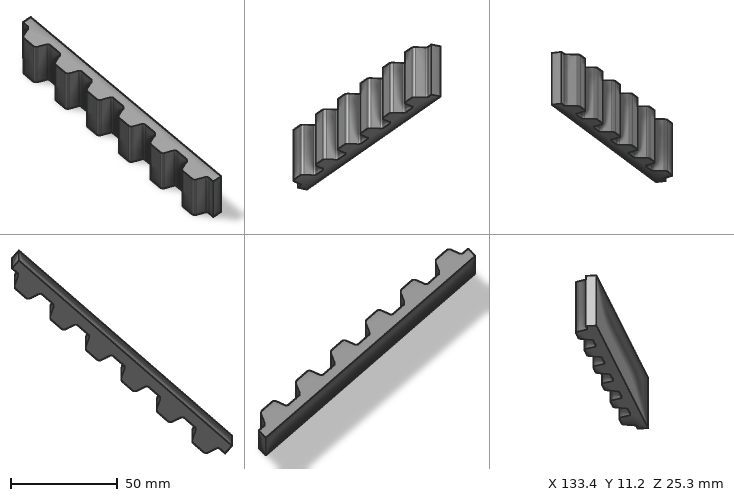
import cadquery as cq
import math

length = 133.4
width = 25.3
total_thickness = 11.2
tooth_height = 6.3
tooth_count = 6
root_width = 13.7
flank_angle = 22.0
root_radius = 1.5
tip_radius = 1.9
match_tolerance = 0.1

pitch = length / tooth_count
backing_thickness = total_thickness - tooth_height
root_half = root_width / 2
tip_half = root_half - tooth_height * math.tan(math.radians(flank_angle))

tooth_centres = [(i + 0.5) * pitch - length / 2 for i in range(tooth_count)]


def belt_outline():
    """Sharp-cornered belt section, seen along the belt width."""
    points = [(-length / 2, backing_thickness), (-length / 2, 0)]
    for centre in tooth_centres:
        points += [
            (centre - root_half, 0),
            (centre - tip_half, -tooth_height),
            (centre + tip_half, -tooth_height),
            (centre + root_half, 0),
        ]
    points += [(length / 2, 0), (length / 2, backing_thickness)]
    return points


def corner_edges(body, half_spacing, y):
    """Edges across the belt width at both corners of every tooth."""
    corners = [(c + side * half_spacing, y, width / 2) for c in tooth_centres for side in (-1, 1)]
    return body.edges("|Z").filter(
        lambda edge: any((edge.Center() - cq.Vector(*corner)).Length < match_tolerance for corner in corners)
    )


belt = cq.Workplane("XY").polyline(belt_outline()).close().extrude(width)
belt = corner_edges(belt, root_half, 0).fillet(root_radius)
result = corner_edges(belt, tip_half, -tooth_height).fillet(tip_radius)